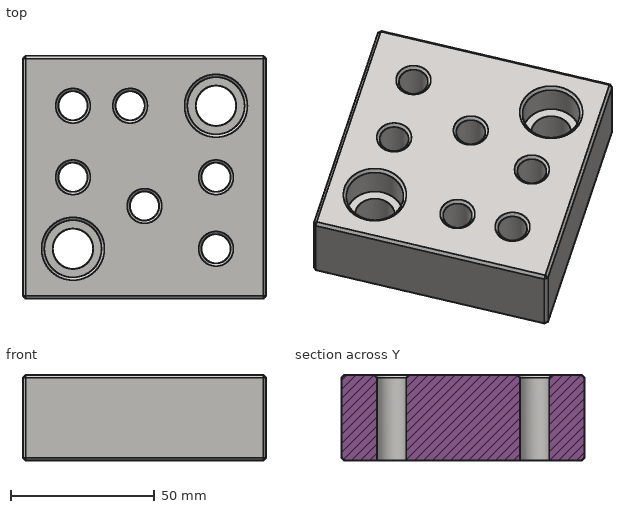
import cadquery as cq

side = 85.0
height = 30.0
edge_chamfer = 1.0

pitch = 25.0
inner_x = -5.0
inner_y = -10.0

small_diameter = 10.1
small_mouth_diameter = 12.15
small_positions = [
    (-pitch, pitch),
    (inner_x, pitch),
    (-pitch, 0),
    (pitch, 0),
    (0, inner_y),
    (pitch, -pitch),
]

bolt_diameter = 14.0
counterbore_diameter = 20.0
counterbore_mouth_diameter = 22.0
counterbore_depth = 13.0
counterbore_positions = [(pitch, pitch), (-pitch, -pitch)]


def hole_cutter(diameter, mouth_diameter, depth):
    """Round cutter reaching down from the top face, with a 45 degree countersunk mouth."""
    mouth_depth = (mouth_diameter - diameter) / 2
    profile = [
        (0, height),
        (mouth_diameter / 2, height),
        (diameter / 2, height - mouth_depth),
        (diameter / 2, height - depth),
        (0, height - depth),
    ]
    return cq.Workplane("XZ").polyline(profile).close().revolve(360, (0, 0), (0, 1))


block = cq.Workplane("XY").box(side, side, height, centered=(True, True, False))
result = block.edges().chamfer(edge_chamfer)

small_hole = hole_cutter(small_diameter, small_mouth_diameter, height)
for x, y in small_positions:
    result = result.cut(small_hole.translate((x, y, 0)))

bolt_hole = cq.Workplane("XY").circle(bolt_diameter / 2).extrude(height)
counterbore = hole_cutter(counterbore_diameter, counterbore_mouth_diameter, counterbore_depth)
counterbored_hole = counterbore.union(bolt_hole)
for x, y in counterbore_positions:
    result = result.cut(counterbored_hole.translate((x, y, 0)))